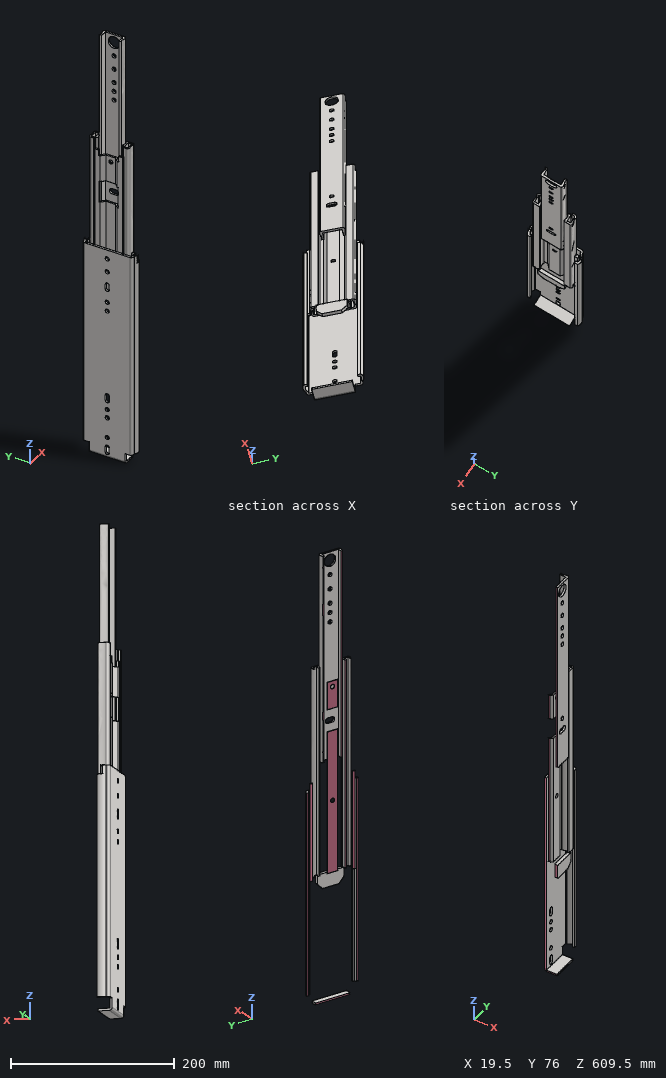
import cadquery as cq
import math


OUTER_TOP = 304.0
OUTER_BOTTOM = 15.0
MIDDLE_TOP = 459.0
MIDDLE_BOTTOM = 174.5
INNER_TOP = 609.5
INNER_BOTTOM = 327.5
CAGE_LENGTH = 134.0

SHEET = 3.0
HOLE_DIAMETER = 5.5
OVERALL_DEPTH = 19.5
THROUGH = 4 * OVERALL_DEPTH

OUTER_HALF_WIDTH = 76.0 / 2
OUTER_WEB_HALF = 32.5
OUTER_BEND = 3.35
OUTER_SHOULDER_X = 5.2
OUTER_LIP_X = 16.5
OUTER_LIP_Y = 32.0
BULGE_X = 11.0
LIP_NOTCH_X = 8.5
LIP_NOTCH_DEPTH = 11.0
TAB_HALF_WIDTH = 25.5
TAB_REACH = 18.0
TAB_BEND = 3.5

MIDDLE_FRONT_X = 3.35
MIDDLE_DEPTH = 14.5
MIDDLE_BACK_X = MIDDLE_FRONT_X + MIDDLE_DEPTH
MIDDLE_HALF_WIDTH = 56.5 / 2
MIDDLE_BEND = 3.35
MIDDLE_SHEET = 2.5
MIDDLE_RACE = ((10.5, 27.5), (14.5, MIDDLE_HALF_WIDTH), (MIDDLE_BACK_X, 26.0))
MIDDLE_RACE_TANGENTS = ((1, -0.3), (0.2, -1))
RETURN_INSIDE_Y = 35.0 / 2
RETURN_OUTSIDE_Y = 21.0
RETURN_FRONT_X = 6.0
RETURN_GROOVE_X = 11.5
GROOVE_HALF_WIDTH = 3.5
GROOVE_DEPTH = 0.9
RECESS_HALF_FLOOR = 7.0
RECESS_HALF_MOUTH = 12.0
SEAM_INSIDE_Y = 19.5
SEAM_OUTSIDE_Y = 21.5
SEAM_DEPTH = 1.0
NOTCH_DEPTH = 15.0
NOTCH_CENTRE_DEPTH = 23.0
NOTCH_CENTRE_HALF = 14.0
WINDOW_BOTTOM = 368.0
WINDOW_TOP = 398.0
WINDOW_HALF_WIDTH = 27.5 / 2
STOP_HALF_WIDTH = 19.5
STOP_HEIGHT = 21.0
STOP_BEVEL_HEIGHT = 8.0
STOP_BEVEL = 7.5
STOP_THICKNESS = 4.6

INNER_FRONT_X = 7.5
INNER_WEB_HALF = 14.0
INNER_RACE = ((15.0, 16.0), (11.0, 14.5), (INNER_FRONT_X, 16.0))
INNER_INSIDE_Y = 12.0

CAGE_LEFT_X = 8.5
CAGE_RIGHT_X = 12.0
CAGE_INSIDE_Y = 29.0
CAGE_OUTSIDE_Y = 33.5

OUTER_HOLES = (291.5, 272.5, 228.0, 215.0, 71.5, 59.0, 30.5)
MIDDLE_HOLES = (428.0, 272.5)
INNER_HOLES = (578.5, 559.0, 539.5, 526.5, 514.0, 397.5)
OUTER_SLOTS = ((250.0, 12.0), (88.0, 13.0), (12.0, 13.5))
BIG_HOLE_Z = 598.0
BIG_HOLE_DIAMETER = 16.5
OVAL_Z = 380.0
OVAL_LENGTH = 13.5
OVAL_HEIGHT = 7.5


def block(x_range, y_range, z_range):
    """A box between two corners, given as a pair of limits on each axis."""
    (x0, x1), (y0, y1), (z0, z1) = x_range, y_range, z_range
    return cq.Workplane("XY").box(x1 - x0, y1 - y0, z1 - z0, centered=False).translate((x0, y0, z0))


def symmetric_bar(half_outline, z_range):
    """Extrude a closed half section along Z and join it with its mirror image across Y = 0."""
    bottom, top = z_range
    half = half_outline.close().extrude(top - bottom).translate((0, 0, bottom))
    return half.union(half.mirror("XZ"))


def drill(rail, heights, diameter):
    """Drill round holes through the web on the centre line."""
    points = [(0, z) for z in heights]
    return rail.cut(cq.Workplane("YZ").pushPoints(points).circle(diameter / 2).extrude(THROUGH))


def slot(z, length, width, angle):
    """A cutter for a round-ended slot through the web, centred at height z."""
    return cq.Workplane("YZ").center(0, z).slot2D(length, width, angle).extrude(THROUGH)


def make_outer_rail():
    shoulder_y = OUTER_WEB_HALF + OUTER_BEND
    lip_inside_x = OUTER_LIP_X - SHEET
    outline = (
        cq.Workplane("XY")
        .lineTo(0, OUTER_WEB_HALF)
        .radiusArc((OUTER_BEND, shoulder_y), OUTER_BEND)
        .lineTo(OUTER_SHOULDER_X, shoulder_y)
        .threePointArc((BULGE_X, OUTER_HALF_WIDTH), (OUTER_LIP_X, shoulder_y))
        .lineTo(OUTER_LIP_X, OUTER_LIP_Y)
        .lineTo(lip_inside_x, OUTER_LIP_Y)
        .lineTo(lip_inside_x, shoulder_y - SHEET / 2)
        .threePointArc((BULGE_X, OUTER_HALF_WIDTH - SHEET), (OUTER_SHOULDER_X, shoulder_y - SHEET))
        .lineTo(OUTER_BEND, shoulder_y - SHEET)
        .lineTo(SHEET, OUTER_WEB_HALF)
        .lineTo(SHEET, 0)
    )
    rail = symmetric_bar(outline, (OUTER_BOTTOM, OUTER_TOP))

    tab_width = (-TAB_HALF_WIDTH, TAB_HALF_WIDTH)
    tab = block((0, TAB_REACH), tab_width, (0, OUTER_BOTTOM))
    tab = tab.cut(block((SHEET, TAB_REACH), tab_width, (SHEET, OUTER_BOTTOM)))
    tab = tab.edges("|Y and <X and <Z").fillet(TAB_BEND)
    rail = rail.union(tab)

    lip_notch = block(
        (LIP_NOTCH_X, OVERALL_DEPTH),
        (-OUTER_HALF_WIDTH, OUTER_HALF_WIDTH),
        (OUTER_TOP - LIP_NOTCH_DEPTH, OUTER_TOP),
    )
    rail = drill(rail.cut(lip_notch), OUTER_HOLES, HOLE_DIAMETER)
    for z, length in OUTER_SLOTS:
        web_slot = slot(z, length, HOLE_DIAMETER, 90).intersect(
            block((0, SHEET), tab_width, (SHEET, OUTER_TOP))
        )
        rail = rail.cut(web_slot)
    return rail


def make_middle_rail():
    recess_depth = RECESS_HALF_MOUTH - RECESS_HALF_FLOOR
    floor_x = MIDDLE_FRONT_X + recess_depth
    web_back_x = MIDDLE_FRONT_X + MIDDLE_SHEET
    corner_shift = MIDDLE_SHEET * math.tan(math.radians(22.5))
    bend_end_x = MIDDLE_FRONT_X + MIDDLE_BEND
    wall_inside_y = MIDDLE_HALF_WIDTH - MIDDLE_SHEET
    fold_inside_x = MIDDLE_BACK_X - MIDDLE_SHEET
    nose_radius = (RETURN_OUTSIDE_Y - RETURN_INSIDE_Y) / 2
    outline = (
        cq.Workplane("XY")
        .moveTo(floor_x, 0)
        .lineTo(floor_x, RECESS_HALF_FLOOR)
        .lineTo(MIDDLE_FRONT_X, RECESS_HALF_MOUTH)
        .lineTo(MIDDLE_FRONT_X, SEAM_INSIDE_Y)
        .lineTo(MIDDLE_FRONT_X + SEAM_DEPTH, SEAM_OUTSIDE_Y)
        .lineTo(MIDDLE_FRONT_X, SEAM_OUTSIDE_Y)
        .lineTo(MIDDLE_FRONT_X, MIDDLE_HALF_WIDTH - MIDDLE_BEND)
        .radiusArc((bend_end_x, MIDDLE_HALF_WIDTH), MIDDLE_BEND)
        .spline(MIDDLE_RACE, tangents=MIDDLE_RACE_TANGENTS, includeCurrent=True)
        .lineTo(MIDDLE_BACK_X, RETURN_INSIDE_Y)
        .lineTo(RETURN_GROOVE_X + GROOVE_HALF_WIDTH, RETURN_INSIDE_Y)
        .threePointArc(
            (RETURN_GROOVE_X, RETURN_INSIDE_Y + GROOVE_DEPTH),
            (RETURN_GROOVE_X - GROOVE_HALF_WIDTH, RETURN_INSIDE_Y),
        )
        .lineTo(RETURN_FRONT_X + nose_radius, RETURN_INSIDE_Y)
        .radiusArc((RETURN_FRONT_X + nose_radius, RETURN_OUTSIDE_Y), nose_radius)
        .lineTo(fold_inside_x, RETURN_OUTSIDE_Y)
        .lineTo(fold_inside_x, wall_inside_y)
        .lineTo(bend_end_x, wall_inside_y)
        .lineTo(web_back_x, MIDDLE_HALF_WIDTH - MIDDLE_BEND)
        .lineTo(web_back_x, RECESS_HALF_MOUTH + corner_shift)
        .lineTo(floor_x + MIDDLE_SHEET, RECESS_HALF_FLOOR + corner_shift)
        .lineTo(floor_x + MIDDLE_SHEET, 0)
    )
    rail = symmetric_bar(outline, (MIDDLE_BOTTOM, MIDDLE_TOP))

    web_x = (0, web_back_x)
    rail = rail.cut(block(web_x, (-SEAM_OUTSIDE_Y, SEAM_OUTSIDE_Y), (MIDDLE_TOP - NOTCH_DEPTH, MIDDLE_TOP)))
    recess_x = (0, floor_x + MIDDLE_SHEET)
    centre_y = (-NOTCH_CENTRE_HALF, NOTCH_CENTRE_HALF)
    rail = rail.cut(block(recess_x, centre_y, (MIDDLE_TOP - NOTCH_CENTRE_DEPTH, MIDDLE_TOP)))

    window_y = (-WINDOW_HALF_WIDTH, WINDOW_HALF_WIDTH)
    rail = rail.cut(block(recess_x, window_y, (WINDOW_BOTTOM, WINDOW_TOP)))
    rail = drill(rail, MIDDLE_HOLES, HOLE_DIAMETER)

    stop_bottom = MIDDLE_BOTTOM - STOP_HEIGHT
    stop = (
        cq.Workplane("YZ", origin=(OVERALL_DEPTH - STOP_THICKNESS, 0, 0))
        .moveTo(-STOP_HALF_WIDTH, MIDDLE_BOTTOM)
        .lineTo(-STOP_HALF_WIDTH, stop_bottom + STOP_BEVEL_HEIGHT)
        .lineTo(-STOP_HALF_WIDTH + STOP_BEVEL, stop_bottom)
        .lineTo(STOP_HALF_WIDTH - STOP_BEVEL, stop_bottom)
        .lineTo(STOP_HALF_WIDTH, stop_bottom + STOP_BEVEL_HEIGHT)
        .lineTo(STOP_HALF_WIDTH, MIDDLE_BOTTOM)
        .close()
        .extrude(STOP_THICKNESS)
    )
    return rail.union(stop)


def make_inner_rail():
    web_x = OVERALL_DEPTH - SHEET
    outline = (
        cq.Workplane("XY")
        .moveTo(OVERALL_DEPTH, 0)
        .lineTo(OVERALL_DEPTH, INNER_WEB_HALF)
        .spline(INNER_RACE, includeCurrent=True)
        .lineTo(INNER_FRONT_X, INNER_INSIDE_Y)
        .lineTo(web_x, INNER_INSIDE_Y)
        .lineTo(web_x, 0)
    )
    rail = symmetric_bar(outline, (INNER_BOTTOM, INNER_TOP))
    rail = drill(rail, INNER_HOLES, HOLE_DIAMETER)
    rail = drill(rail, [BIG_HOLE_Z], BIG_HOLE_DIAMETER)
    return rail.cut(slot(OVAL_Z, OVAL_LENGTH, OVAL_HEIGHT, 0))


def make_cage(side):
    """A ball cage strip between the outer and middle rails; side is +1 for +Y and -1 for -Y."""
    y_range = sorted((side * CAGE_INSIDE_Y, side * CAGE_OUTSIDE_Y))
    return block((CAGE_LEFT_X, CAGE_RIGHT_X), y_range, (OUTER_TOP - CAGE_LENGTH, OUTER_TOP))


outer_rail = make_outer_rail()
middle_rail = make_middle_rail()
inner_rail = make_inner_rail()
cages = [make_cage(side) for side in (1, -1)]

result = cq.Compound.makeCompound(
    [outer_rail.val(), middle_rail.val(), inner_rail.val(), *[cage.val() for cage in cages]]
)